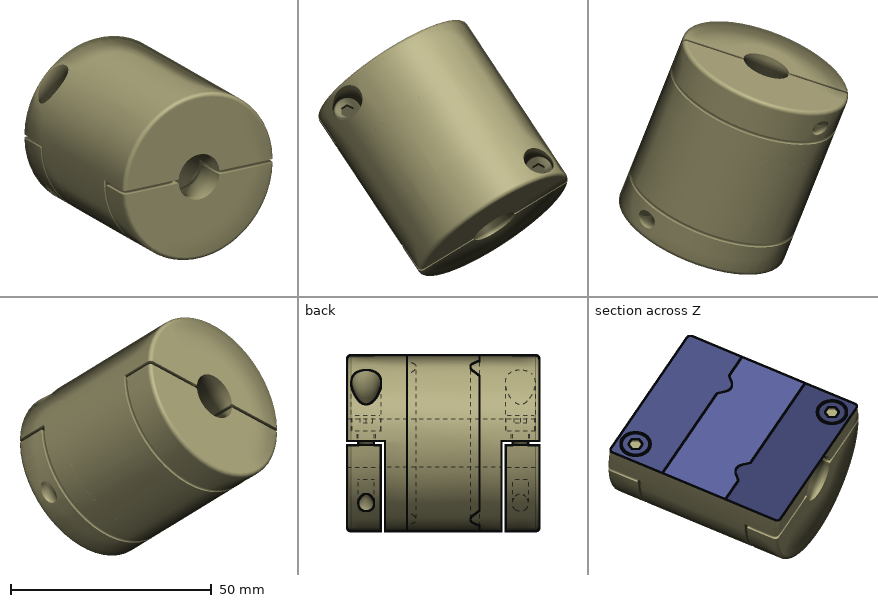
import cadquery as cq
import math


length = 48.0
outer_diameter = 44.0
bore_diameter = 12.0
rim_radius = 1.0
end_x = length / 2
outer_radius = outer_diameter / 2

sleeve_length = 18.0
sleeve_end_x = sleeve_length / 2
rib_y = -11.05
rib_half_width = 3.15
rib_tip_radius = 2.2

slit_width = 1.0
clamp_length = 8.45
upright_slit_x = end_x - clamp_length - slit_width

screw_x = end_x - 4.8
screw_y = 16.05
seat_z = 3.0
counterbore_diameter = 7.5
clearance_diameter = 4.5
head_diameter = 7.0
head_height = 4.0
head_edge_radius = 0.45
thread_diameter = 4.0
screw_length = 12.0
hex_across_flats = 3.0
hex_depth = 1.9


def ring(start_x, stop_x):
    """Plain ring around the X axis."""
    return (
        cq.Workplane("YZ")
        .workplane(offset=start_x)
        .circle(outer_radius)
        .circle(bore_diameter / 2)
        .extrude(stop_x - start_x)
    )


def rib():
    """Upright rib: 45 degree flanks with a rounded tip, trimmed to the outer cylinder."""
    flank_y = rib_tip_radius * math.sin(math.radians(45))
    flank_x = sleeve_end_x - (rib_half_width - flank_y)
    tip_x = sleeve_end_x - rib_half_width + rib_tip_radius * (math.sqrt(2) - 1)
    prism = (
        cq.Workplane("XY")
        .moveTo(sleeve_end_x, rib_y - rib_half_width)
        .lineTo(flank_x, rib_y - flank_y)
        .threePointArc((tip_x, rib_y), (flank_x, rib_y + flank_y))
        .lineTo(sleeve_end_x, rib_y + rib_half_width)
        .close()
        .extrude(outer_radius, both=True)
    )
    return prism.intersect(ring(0, end_x))


def screw_cylinder(diameter, bottom_z, height):
    """Cylinder on the screw axis."""
    return (
        cq.Workplane("XY", origin=(screw_x, screw_y, bottom_z))
        .circle(diameter / 2)
        .extrude(height)
    )


def screw():
    """Socket head screw with a hexagon recess."""
    head = screw_cylinder(head_diameter, seat_z, head_height).faces(">Z").edges().fillet(head_edge_radius)
    shank = screw_cylinder(thread_diameter, seat_z - screw_length, screw_length)
    across_corners = hex_across_flats / math.cos(math.radians(30))
    socket = (
        cq.Workplane("XY", origin=(screw_x, screw_y, seat_z + head_height - hex_depth))
        .transformed(rotate=(0, 0, 90))
        .polygon(6, across_corners)
        .extrude(hex_depth)
    )
    return head.union(shank).cut(socket)


def clamp_slits():
    """L-shaped gap that frees the lower half of the clamp from the rest of the hub."""
    level = (
        cq.Workplane("XY")
        .box(end_x - upright_slit_x, outer_diameter, slit_width, centered=(False, True, True))
        .translate((upright_slit_x, 0, 0))
    )
    upright = (
        cq.Workplane("XY")
        .box(slit_width, outer_diameter, outer_radius, centered=(False, True, False))
        .translate((upright_slit_x, 0, -outer_radius))
    )
    return level.union(upright)


def screw_holes():
    """Counterbore and clearance hole above the slit, thread hole below it."""
    counterbore = screw_cylinder(counterbore_diameter, seat_z, outer_radius)
    clearance = screw_cylinder(clearance_diameter, 0, seat_z)
    thread = screw_cylinder(thread_diameter, -outer_radius, outer_radius)
    return counterbore.union(clearance).union(thread)


def hub(turn):
    """Hub with its clamp screw, which holds the lower clamp half; turned about Z."""
    body = ring(sleeve_end_x, end_x)
    outer_edge = cq.selectors.RadiusNthSelector(-1)
    body = body.faces(">X").edges(outer_edge).fillet(rim_radius)
    body = body.union(rib()).cut(clamp_slits()).cut(screw_holes()).union(screw())
    return body.rotate((0, 0, 0), (0, 0, 1), turn)


hubs = [hub(turn) for turn in (0, 180)]

sleeve = ring(-sleeve_end_x, sleeve_end_x)
for neighbour in hubs:
    sleeve = sleeve.cut(neighbour)

result = cq.Compound.makeCompound([sleeve.val(), *[body.val() for body in hubs]])